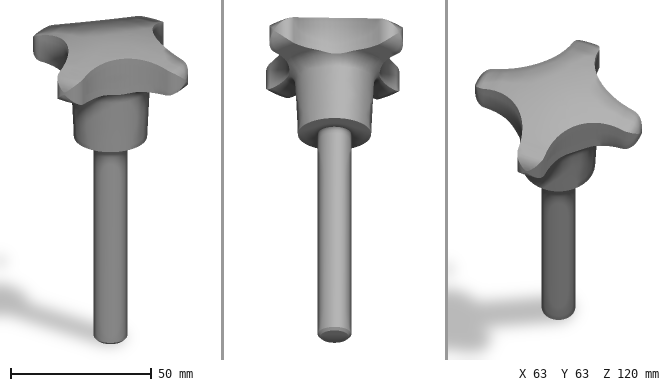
import cadquery as cq
import math

total_height = 120.0
head_span = 63.0
tip_radius = 5.0
head_bottom = 105.1
hub_bottom = 80.2
hub_bottom_radius = 13.1
hub_top_radius = 14.0
flare_radius = 4.8
stud_radius = 6.0
stud_chamfer = 1.0
rim_overhang = 0.02
seam_angle = 45

tip_center = head_span / 2 - tip_radius
rim_center = tip_center + rim_overhang
tip_center_z = head_bottom + tip_radius

tip_drop = total_height - tip_center_z
dome_radius = (rim_center**2 + tip_drop**2 - tip_radius**2) / (2 * (tip_drop - tip_radius))
dome_center_z = total_height - dome_radius
tangent_scale = dome_radius / (dome_radius - tip_radius)
tangent_x = rim_center * tangent_scale
tangent_z = dome_center_z + (tip_center_z - dome_center_z) * tangent_scale


def make_plan():
    """Four-armed star prism with full-round arm ends and concave flanks."""
    hollow_mid = tip_center - (tip_center - tip_radius) * math.sqrt(0.5)
    outline = cq.Workplane("XY").workplane(offset=hub_bottom).moveTo(tip_center, -tip_radius)
    for c, s in ((1, 0), (0, 1), (-1, 0), (0, -1)):
        def turned(x, y):
            return (c * x - s * y, s * x + c * y)

        outline = outline.threePointArc(turned(tip_center + tip_radius, 0), turned(tip_center, tip_radius))
        outline = outline.threePointArc(turned(hollow_mid, hollow_mid), turned(tip_radius, tip_center))
    return outline.close().extrude(total_height - hub_bottom)


def make_head():
    """Domed, round-rimmed disc with a flared underside, trimmed to the star plan."""
    dome_mid_z = dome_center_z + math.sqrt(dome_radius**2 - (tangent_x / 2)**2)
    flare_start_z = head_bottom - flare_radius
    flare_diagonal = flare_radius * math.sqrt(0.5)
    flare_outer = hub_top_radius + flare_radius
    body = (
        cq.Workplane("XZ")
        .moveTo(0, flare_start_z)
        .lineTo(hub_top_radius, flare_start_z)
        .threePointArc(
            (flare_outer - flare_diagonal, flare_start_z + flare_diagonal),
            (flare_outer, head_bottom),
        )
        .lineTo(rim_center, head_bottom)
        .threePointArc((rim_center + tip_radius, tip_center_z), (tangent_x, tangent_z))
        .threePointArc((tangent_x / 2, dome_mid_z), (0, total_height))
        .close()
        .revolve(360, (0, 0, 0), (0, 1, 0))
        .rotate((0, 0, 0), (0, 0, 1), seam_angle)
    )
    return body.intersect(make_plan())


def make_hub_and_stud():
    """Tapered hub on a plain stud with a chamfered free end."""
    outline = [
        (0, 0),
        (stud_radius - stud_chamfer, 0),
        (stud_radius, stud_chamfer),
        (stud_radius, hub_bottom),
        (hub_bottom_radius, hub_bottom),
        (hub_top_radius, head_bottom - flare_radius),
        (0, head_bottom - flare_radius),
    ]
    return cq.Workplane("XZ").polyline(outline).close().revolve(360, (0, 0, 0), (0, 1, 0))


result = make_head().union(make_hub_and_stud())